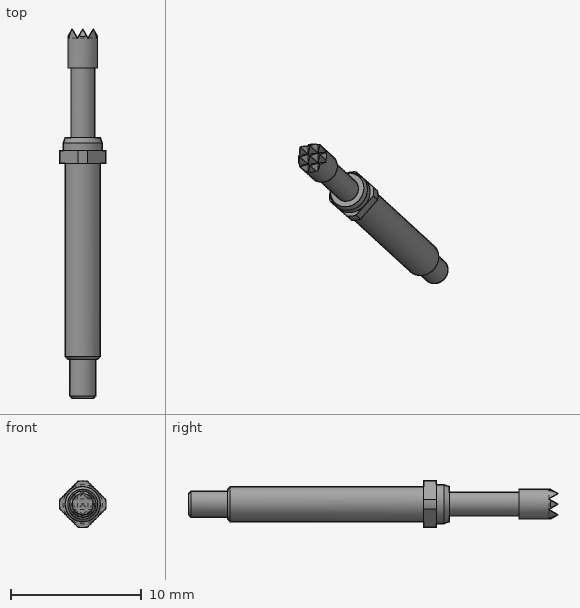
import cadquery as cq
import math


total_length = 28.3
tail_length = 3.0
body_length = 15.0
flange_length = 1.0
collar_length = 1.0
head_length = 3.0

tail_diameter = 2.0
body_diameter = 2.7
flange_diameter = 3.6
flange_across_flats = 3.0
collar_diameter = 3.0
stem_diameter = 1.85
head_diameter = 2.3
end_chamfer = 0.2
collar_chamfer_radial = 0.15
collar_chamfer_axial = 0.42

teeth_per_row = 3
tooth_angle = 60.0
tooth_pitch = head_diameter / 2 / math.sqrt(2)
tooth_depth = tooth_pitch / 2 / math.tan(math.radians(tooth_angle / 2))

body_start = tail_length
flange_start = body_start + body_length
collar_start = flange_start + flange_length
stem_start = collar_start + collar_length
head_start = total_length - head_length


def cylinder(diameter, start, length):
    """Solid cylinder along +Y beginning at the given station."""
    base = cq.Workplane("XZ", origin=(0, start, 0))
    return base.circle(diameter / 2).extrude(-length)


def make_flange():
    """Disc trimmed to four flats, with its corners pointing along X and Z."""
    disc = cylinder(flange_diameter, flange_start, flange_length)
    square = (
        cq.Workplane("XZ", origin=(0, flange_start, 0))
        .transformed(rotate=(0, 0, 45))
        .rect(flange_across_flats, flange_across_flats)
        .extrude(-flange_length)
    )
    return disc.intersect(square)


def make_collar():
    """Collar whose +Y edge has a long, shallow chamfer."""
    radius = collar_diameter / 2
    half_section = [
        (0, collar_start),
        (radius, collar_start),
        (radius, stem_start - collar_chamfer_axial),
        (radius - collar_chamfer_radial, stem_start),
        (0, stem_start),
    ]
    return cq.Workplane("XY").polyline(half_section).close().revolve(360, (0, 0, 0), (0, 1, 0))


def make_serrated_block():
    """Prism along Z with a sawtooth +Y side, large enough to contain the head."""
    half_width = teeth_per_row * tooth_pitch / 2
    valley = total_length - tooth_depth
    points = [(half_width, head_start), (-half_width, head_start), (-half_width, valley)]
    for tooth in range(teeth_per_row):
        tip_x = (tooth + 0.5) * tooth_pitch - half_width
        points.append((tip_x, total_length))
        points.append((tip_x + tooth_pitch / 2, valley))
    return cq.Workplane("XY").polyline(points).close().extrude(half_width, both=True)


def make_head():
    """Cylinder cut by two crossing sets of V-grooves."""
    grooved_along_z = make_serrated_block()
    grooved_along_x = grooved_along_z.rotate((0, 0, 0), (0, 1, 0), 90)
    blank = cylinder(head_diameter, head_start, head_length)
    return blank.intersect(grooved_along_z).intersect(grooved_along_x)


tail = cylinder(tail_diameter, 0, tail_length).faces("<Y").chamfer(end_chamfer)
body = cylinder(body_diameter, body_start, body_length).faces("<Y").chamfer(end_chamfer)
stem = cylinder(stem_diameter, stem_start, head_start - stem_start)

result = tail.union(body).union(make_flange()).union(make_collar()).union(stem).union(make_head())